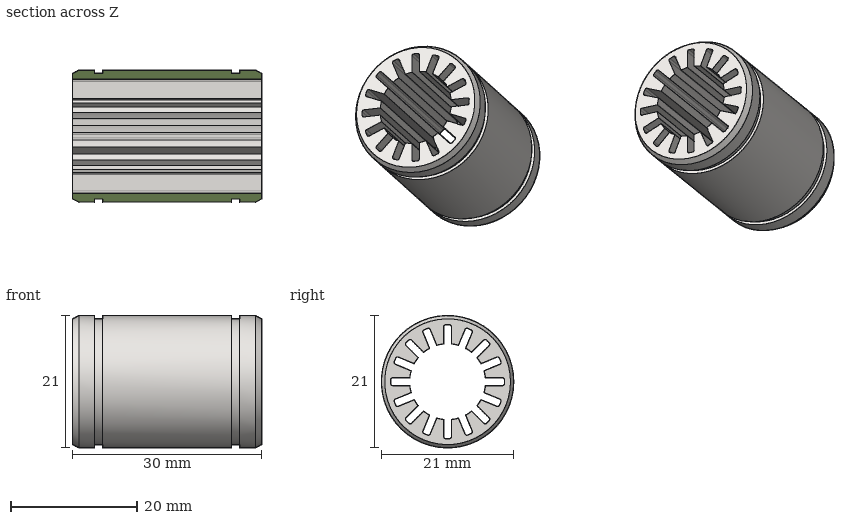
import cadquery as cq

length = 30.0
outer_diameter = 21.0
bore_diameter = 12.0

end_cone_length = 1.02
end_cone_depth = 0.55

groove_diameter = 20.0
groove_width = 1.25
groove_end_distance = 3.5

slot_count = 16
slot_width = 1.2
slot_tip_radius = 9.0
slot_corner_radius = 0.3


def make_body():
    """Solid cylinder with a cone turned on both ends."""
    half_length = length / 2
    outer_radius = outer_diameter / 2
    end_radius = outer_radius - end_cone_depth
    cone_start = half_length - end_cone_length
    return (
        cq.Workplane("XY")
        .moveTo(-half_length, 0)
        .lineTo(-half_length, end_radius)
        .lineTo(-cone_start, outer_radius)
        .lineTo(cone_start, outer_radius)
        .lineTo(half_length, end_radius)
        .lineTo(half_length, 0)
        .close()
        .revolve(360, (0, 0, 0), (1, 0, 0))
    )


def make_groove(start_x):
    """Ring of material to remove for a groove starting at start_x."""
    return (
        cq.Workplane("YZ", origin=(start_x, 0, 0))
        .circle(outer_diameter / 2)
        .circle(groove_diameter / 2)
        .extrude(groove_width)
    )


def make_bore():
    """Bore and its radial slots as one through-cutting solid."""
    start = cq.Workplane("YZ", origin=(-length / 2, 0, 0))
    bore = start.circle(bore_diameter / 2).extrude(length)
    for index in range(slot_count // 2):
        bar = (
            start.rect(2 * slot_tip_radius, slot_width)
            .extrude(length)
            .edges("|X")
            .fillet(slot_corner_radius)
            .rotate((0, 0, 0), (1, 0, 0), index * 360 / slot_count)
        )
        bore = bore.union(bar)
    return bore


left_groove_start = -length / 2 + groove_end_distance
right_groove_start = -left_groove_start - groove_width

result = make_body()
for groove_start in (left_groove_start, right_groove_start):
    result = result.cut(make_groove(groove_start))
result = result.cut(make_bore())